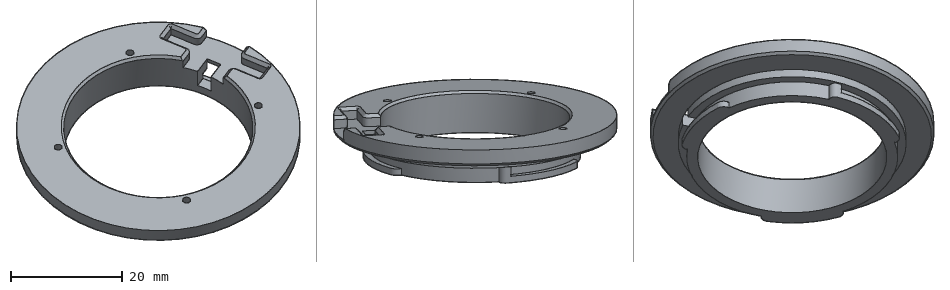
import cadquery as cq
import math

total_height = 7.75
flange_radius = 25.5
flange_height = 3.05
flange_chamfer = 0.45
boss_radius = 20.5
neck_radius = 18.95
neck_height = 3.05
bore_radius = 34.0 / 2
bore_chamfer = 0.45
flange_bottom = total_height - flange_height

pin_hole_diameter = 1.4
pin_hole_depth = 1.55
pin_circle_radius = 18.7
pin_hole_count = 4

tab_radius = 20.2
tab_height = 1.2
tall_tab_height = 1.55
tab_root_radius = (bore_radius + neck_radius) / 2
tab_end_round = 1.55
stop_round = 1.1
stop_start = 225.5
stop_end = 231.0
stop_tab_end = 281.6
latch_tab_start = 122.0
latch_tab_end = 168.4
tall_tab_start = -4.0
tall_tab_end = tall_tab_start + latch_tab_end - latch_tab_start

pocket_angle = 135.0
pocket_depth = 2.25
pocket_chamfer = 0.6
cutter_overrun = 2.55
channel_half_width = 4.15
bar_half_length = 9.95
bar_inner = 19.6
bar_outer = 22.45
channel_inner = bore_radius - cutter_overrun
channel_outer = flange_radius + cutter_overrun
pocket_corner_round = 1.0
pocket_floor = total_height - pocket_depth

slot_width = 2.75
slot_bottom = 1.8


def disc(radius, bottom, height):
    return cq.Workplane("XY").workplane(offset=bottom).circle(radius).extrude(height)


def make_ring():
    flange = disc(flange_radius, flange_bottom, flange_height)
    flange = flange.faces("<Z").edges().chamfer(flange_chamfer)
    boss = disc(boss_radius, neck_height, flange_bottom - neck_height)
    neck = disc(neck_radius, 0, neck_height)
    ring = flange.union(boss).union(neck).cut(disc(bore_radius, 0, total_height))
    bore_rim = ring.faces(">Z").edges(cq.selectors.RadiusNthSelector(0))
    return bore_rim.chamfer(bore_chamfer)


def polar(radius, angle):
    radians = math.radians(angle)
    return radius * math.cos(radians), radius * math.sin(radians)


def make_tab(start, end, height, start_round=0.0, end_round=0.0):
    """Ring sector between two angles, with optional rounds on its outer corners."""
    middle = (start + end) / 2
    tab = (
        cq.Workplane("XY")
        .moveTo(*polar(tab_root_radius, start))
        .lineTo(*polar(tab_radius, start))
        .threePointArc(polar(tab_radius, middle), polar(tab_radius, end))
        .lineTo(*polar(tab_root_radius, end))
        .threePointArc(polar(tab_root_radius, middle), polar(tab_root_radius, start))
        .close()
        .extrude(height)
    )
    for angle, corner_round in ((start, start_round), (end, end_round)):
        if corner_round > 0:
            corner = (*polar(tab_radius, angle), height / 2)
            tab = tab.edges(cq.selectors.NearestToPointSelector(corner)).fillet(corner_round)
    return tab


def make_pocket():
    """Cutter drawn along +X: straight walls below, flared 45 degree walls at the rim."""
    bar_middle = (bar_inner + bar_outer) / 2
    channel_length = channel_outer - channel_inner
    channel_middle = (channel_inner + channel_outer) / 2
    sketch = (
        cq.Sketch()
        .push([(channel_middle, 0)])
        .rect(channel_length, 2 * channel_half_width)
        .reset()
        .push([(bar_middle, 0)])
        .rect(bar_outer - bar_inner, 2 * bar_half_length)
        .reset()
        .clean()
    )
    for radial in (bar_inner, bar_outer):
        for side in (-1, 1):
            corner = cq.selectors.NearestToPointSelector((radial, side * channel_half_width, 0))
            sketch = sketch.vertices(corner).fillet(pocket_corner_round).reset()
    straight_height = pocket_depth - pocket_chamfer
    rim_bottom = pocket_floor + straight_height
    pocket = cq.Workplane("XY").workplane(offset=pocket_floor).placeSketch(sketch).extrude(straight_height)
    rim = cq.Workplane("XY").workplane(offset=rim_bottom).placeSketch(sketch)
    return pocket.union(rim.extrude(pocket_chamfer, taper=-45))


def make_slot():
    """Cutter drawn along +X, from inside the bore out to the boss surface."""
    size = (boss_radius - channel_inner, slot_width, pocket_floor - slot_bottom)
    slot = cq.Workplane("XY").box(*size, centered=(False, True, False))
    return slot.translate((channel_inner, 0, slot_bottom))


def make_pin_holes():
    return (
        cq.Workplane("XY")
        .workplane(offset=total_height - pin_hole_depth)
        .polarArray(pin_circle_radius, 0, 360, pin_hole_count)
        .circle(pin_hole_diameter / 2)
        .extrude(pin_hole_depth)
    )


result = make_ring()

result = result.union(make_tab(stop_start, stop_end, neck_height, start_round=stop_round))
result = result.union(make_tab(stop_end, stop_tab_end, tab_height, end_round=tab_end_round))
result = result.union(make_tab(latch_tab_start, latch_tab_end, tab_height, tab_end_round, tab_end_round))
result = result.union(make_tab(tall_tab_start, tall_tab_end, tall_tab_height, tab_end_round, tab_end_round))

for cutter in (make_pocket(), make_slot()):
    result = result.cut(cutter.rotate((0, 0, 0), (0, 0, 1), pocket_angle))
result = result.cut(make_pin_holes())